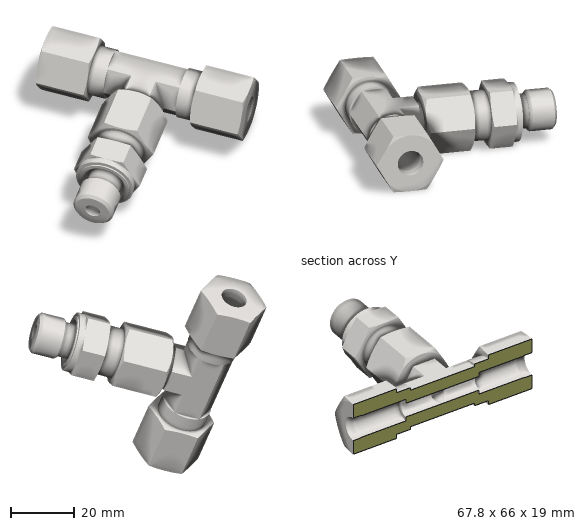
import cadquery as cq
import math


RIGHT = cq.Vector(1, 0, 0)
LEFT = cq.Vector(-1, 0, 0)
BRANCH = cq.Vector(0, -1, 0)
UP = cq.Vector(0, 0, 1)

nut_flats = 19.0
body_flats = 14.05
nut_corners = nut_flats / math.cos(math.pi / 6)
body_corners = body_flats / math.cos(math.pi / 6)

run_end = 33.9
run_nut_length = 16.6
run_nut_chamfer = 0.4
run_nut_start = run_end - run_nut_length
body_half_length = 12.0
collar_diameter = 16.0

branch_body_end = 10.5
swivel_nut_start = 11.8
swivel_nut_end = 27.7
stud_hex_start = 33.1
stud_hex_end = 41.0
flange_end = 43.0
sealing_face = 43.4
thread_start = 46.1
branch_end = 66.05 - nut_corners / 2

neck_diameter = 12.5
swivel_nut_inner_chamfer = 0.95
swivel_nut_outer_chamfer = 0.75
swivel_nut_outer_face = 18.2
stud_hex_chamfer = 0.3
flange_diameter = nut_flats
sealing_face_diameter = 16.55
recess_diameter = 14.25
recess_depth = 1.35
undercut_diameter = 11.1
thread_diameter = 13.2
thread_chamfer = 0.9

bore_diameter = 5.0
tube_entry_diameter = 8.35
tube_entry_depth = 2.5
tube_taper_depth = 3.45
tube_diameter = 8.0
tube_stop = 14.0


def turned(direction, outline):
    """Revolve a closed outline of (diameter, distance) points about an arm's axis."""
    radial = direction.cross(UP)
    plane = cq.Plane(origin=(0, 0, 0), xDir=radial, normal=radial.cross(direction))
    points = [(diameter / 2, distance) for diameter, distance in outline]
    return cq.Workplane(plane).polyline(points).close().revolve(360, (0, 0), (0, 1))


def cylinder(direction, diameter, start, end):
    """Round bar along an arm."""
    return turned(direction, [(0, start), (diameter, start), (diameter, end), (0, end)])


def hexagon(direction, corners, start, end):
    """Hexagonal bar along an arm, with flats facing up and down."""
    plane = cq.Plane(origin=(direction * start).toTuple(), xDir=direction.cross(UP), normal=direction)
    return cq.Workplane(plane).polygon(6, corners).extrude(end - start)


def nut(direction, start, end, start_chamfer, end_chamfer, end_face=nut_flats):
    """Hexagon whose corners are turned down to a round face at both ends."""
    envelope = turned(direction, [
        (0, start),
        (nut_flats, start),
        (nut_corners, start + start_chamfer),
        (nut_corners, end - end_chamfer),
        (end_face, end),
        (0, end),
    ])
    return hexagon(direction, nut_corners, start, end).intersect(envelope)


def run_arm(direction):
    """Body hexagon, round collar and union nut of one run arm."""
    arm = hexagon(direction, body_corners, 0, body_half_length)
    arm = arm.union(cylinder(direction, collar_diameter, body_half_length, run_nut_start))
    return arm.union(nut(direction, run_nut_start, run_end, run_nut_chamfer, run_nut_chamfer))


def tube_socket(direction):
    """Stepped hole that takes a tube, down to its stop in the body."""
    return turned(direction, [
        (0, run_end),
        (tube_entry_diameter, run_end),
        (tube_entry_diameter, run_end - tube_entry_depth),
        (tube_diameter, run_end - tube_taper_depth),
        (tube_diameter, tube_stop),
        (0, tube_stop),
    ])


def stud():
    """Flange with a conical sealing recess, undercut and threaded end."""
    thread_tip = thread_diameter - 2 * thread_chamfer
    return turned(BRANCH, [
        (0, stud_hex_end),
        (flange_diameter, stud_hex_end),
        (flange_diameter, flange_end),
        (sealing_face_diameter, flange_end),
        (sealing_face_diameter, sealing_face),
        (recess_diameter, sealing_face),
        (undercut_diameter, sealing_face - recess_depth),
        (undercut_diameter, thread_start),
        (thread_tip, thread_start),
        (thread_diameter, thread_start + thread_chamfer),
        (thread_diameter, branch_end - thread_chamfer),
        (thread_tip, branch_end),
        (0, branch_end),
    ])


def branch_arm():
    """Body hexagon, neck, swivel nut, collar, stud hexagon and stud."""
    arm = hexagon(BRANCH, body_corners, 0, branch_body_end)
    arm = arm.union(cylinder(BRANCH, neck_diameter, branch_body_end, swivel_nut_start))
    arm = arm.union(nut(BRANCH, swivel_nut_start, swivel_nut_end,
                        swivel_nut_inner_chamfer, swivel_nut_outer_chamfer, swivel_nut_outer_face))
    arm = arm.union(cylinder(BRANCH, collar_diameter, swivel_nut_end, stud_hex_start))
    arm = arm.union(nut(BRANCH, stud_hex_start, stud_hex_end, stud_hex_chamfer, stud_hex_chamfer))
    return arm.union(stud())


result = run_arm(RIGHT).union(run_arm(LEFT)).union(branch_arm())
for run_direction in (RIGHT, LEFT):
    result = result.cut(tube_socket(run_direction))
    result = result.cut(cylinder(run_direction, bore_diameter, 0, run_end))
result = result.cut(cylinder(BRANCH, bore_diameter, 0, branch_end))